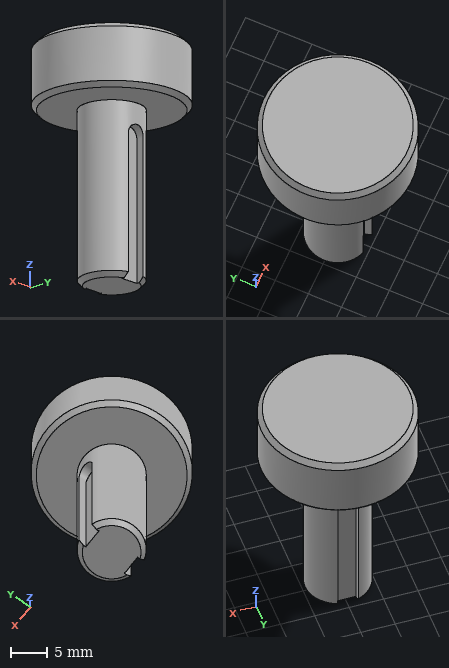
import cadquery as cq

total_height = 34.8
head_diameter = 22.25
head_height = 9.35
shank_diameter = 9.55
edge_chamfer = 0.73
slot_width = 3.0
slot_length = 22.35
slot_floor_offset = 3.35

shank_length = total_height - head_height
slot_round_radius = slot_width / 2
slot_straight_length = slot_length - slot_round_radius


def make_head():
    """Disc-shaped knob, chamfered on both rims."""
    disc = cq.Workplane("XY").workplane(offset=shank_length).circle(head_diameter / 2).extrude(head_height)
    return disc.faces("<Z or >Z").chamfer(edge_chamfer)


def make_shank():
    """Round shank with a chamfered free end."""
    return cq.Workplane("XY").circle(shank_diameter / 2).extrude(shank_length).faces("<Z").chamfer(edge_chamfer)


def make_slot_cutter():
    """Round-topped slot on the -Y side, open at the free end of the shank."""
    return (
        cq.Workplane("XZ", origin=(0, -slot_floor_offset, 0))
        .moveTo(-slot_round_radius, 0)
        .lineTo(-slot_round_radius, slot_straight_length)
        .threePointArc((0, slot_length), (slot_round_radius, slot_straight_length))
        .lineTo(slot_round_radius, 0)
        .close()
        .extrude(shank_diameter / 2)
    )


slot_cutter = make_slot_cutter()
opposite_slot_cutter = slot_cutter.mirror("XZ")

result = make_head().union(make_shank()).cut(slot_cutter).cut(opposite_slot_cutter)